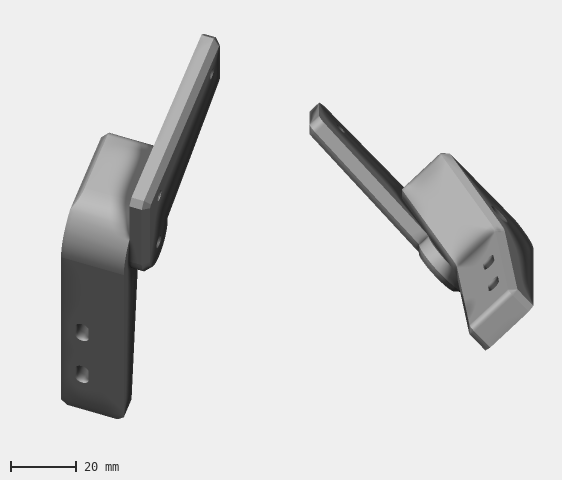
import cadquery as cq
import math


pivot_y = 15.0
pivot_z = 77.27
edge_chamfer = 2.0
corner_radius = 2.05

arm_thickness = 20.2
arm_top = pivot_z + 15.5
arm_front_radius = 16.0
arm_foot_depth = 8.9
arm_back_taper = 5.3
arm_elbow_z = 63.7
arm_elbow_radius = 6.0
arm_hook_slope = 47.6
arm_hole_diameter = 5.0
arm_countersink_diameter = 7.0
countersink_angle = 90.0

slot_width = 4.3
slot_length = 8.6
slot_x = 6.75
lowest_slot_z = 18.3
slot_pitch = 22.0
slot_count = 2
slot_cut_depth = 2 * arm_foot_depth

plate_thickness = 6.0
plate_front = 5.0
plate_back = 73.01
plate_top = pivot_z + 31.0
plate_bottom_slope = 10.7
plate_end_radius = pivot_y - plate_front
plate_corner_radius = 3.0
plate_pivot_hole_diameter = 4.2
screw_hole_diameter = 3.5
screw_hole_drop = 7.7
first_screw_hole_y = 15.6
screw_hole_spacing = 48.0
screw_hole_count = 2


def edge_along_x(body, y, z):
    """Select the edge parallel to X that lies nearest to a point of the YZ plane."""
    mid_x = body.val().Center().x
    return body.edges("|X").edges(cq.selectors.NearestToPointSelector((mid_x, y, z)))


def make_arm_blank():
    """Tapered leg with a hook at the top, chamfered on both sides except along the front face."""
    elbow_y = arm_foot_depth + arm_elbow_z * math.tan(math.radians(arm_back_taper))
    tip_y = elbow_y + (arm_top - arm_elbow_z) / math.tan(math.radians(arm_hook_slope))
    outline = [(0, 0), (arm_foot_depth, 0), (elbow_y, arm_elbow_z), (tip_y, arm_top), (0, arm_top)]
    blank = cq.Workplane("YZ").polyline(outline).close().extrude(arm_thickness)

    blank = edge_along_x(blank, elbow_y, arm_elbow_z).fillet(arm_elbow_radius)
    blank = edge_along_x(blank, arm_foot_depth, 0).fillet(corner_radius)
    blank = edge_along_x(blank, tip_y, arm_top).fillet(corner_radius)
    blank = blank.faces("<X or >X").edges("not(<Y)").chamfer(edge_chamfer)

    return edge_along_x(blank, 0, arm_top).fillet(arm_front_radius)


def make_slots():
    """Upright slots in a column, cutting through the whole depth of the arm."""
    top_slot_z = lowest_slot_z + (slot_count - 1) * slot_pitch
    return (
        cq.Workplane("XZ")
        .center(slot_x, (lowest_slot_z + top_slot_z) / 2)
        .rarray(slot_pitch, slot_pitch, 1, slot_count)
        .slot2D(slot_length, slot_width, 90)
        .extrude(-slot_cut_depth)
    )


def make_arm():
    arm = (
        make_arm_blank()
        .faces("<X")
        .workplane(origin=(0, pivot_y, pivot_z))
        .cskHole(arm_hole_diameter, arm_countersink_diameter, countersink_angle)
    )
    return arm.cut(make_slots())


def make_plate():
    """Mounting plate flat against the arm, with a round lower end about the pivot."""
    back_rise = (plate_back - pivot_y - plate_end_radius) * math.tan(math.radians(plate_bottom_slope))
    plate = (
        cq.Workplane("YZ", origin=(arm_thickness, 0, 0))
        .moveTo(plate_front, pivot_z)
        .threePointArc((pivot_y, pivot_z - plate_end_radius), (pivot_y + plate_end_radius, pivot_z))
        .lineTo(plate_back, pivot_z + back_rise)
        .lineTo(plate_back, plate_top)
        .lineTo(plate_front, plate_top)
        .close()
        .extrude(plate_thickness)
    )
    plate = edge_along_x(plate, plate_front, plate_top).chamfer(edge_chamfer)
    plate = edge_along_x(plate, plate_back, plate_top).chamfer(edge_chamfer)
    plate = edge_along_x(plate, plate_back, pivot_z + back_rise).fillet(plate_corner_radius)
    plate = plate.faces(">X").edges().chamfer(edge_chamfer)

    screw_z = plate_top - screw_hole_drop
    screw_points = [(first_screw_hole_y + i * screw_hole_spacing, screw_z) for i in range(screw_hole_count)]
    holes = cq.Workplane("YZ", origin=(arm_thickness, 0, 0))
    screw_holes = holes.pushPoints(screw_points).circle(screw_hole_diameter / 2).extrude(plate_thickness)
    pivot_hole = holes.center(pivot_y, pivot_z).circle(plate_pivot_hole_diameter / 2).extrude(plate_thickness)
    return plate.cut(screw_holes).cut(pivot_hole)


arm = make_arm()
plate = make_plate()
result = cq.Compound.makeCompound([arm.val(), plate.val()])